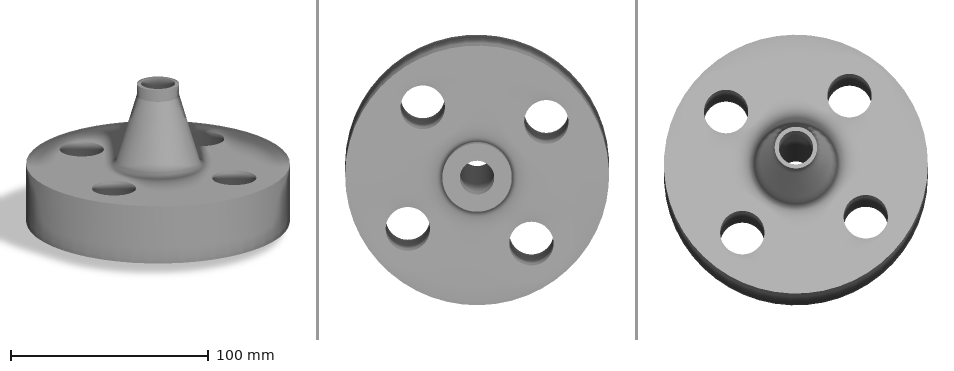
import cadquery as cq
import math

flange_diameter = 133.3
flange_thickness = 30.5

face_diameter = 35.0
face_height = 6.1

hub_base_diameter = 43.2
hub_height = 36.7
neck_diameter = 21.5
neck_height = 6.1
hub_fillet = 2.9

bore_diameter = 17.3
bolt_circle_diameter = 88.9
bolt_hole_diameter = 22.4
bolt_hole_count = 4

flange_bottom = face_height
flange_top = flange_bottom + flange_thickness
neck_bottom = flange_top + hub_height
neck_top = neck_bottom + neck_height

flange_radius = flange_diameter / 2
face_radius = face_diameter / 2
hub_base_radius = hub_base_diameter / 2
neck_radius = neck_diameter / 2

taper_angle = math.atan2(hub_base_radius - neck_radius, hub_height)
corner_angle = math.pi / 2 + taper_angle
tangent_length = hub_fillet / math.tan(corner_angle / 2)
fillet_foot_radius = hub_base_radius + tangent_length
fillet_top_radius = hub_base_radius - tangent_length * math.sin(taper_angle)
fillet_top_level = flange_top + tangent_length * math.cos(taper_angle)


def make_body():
    """Revolve the solid half section of the face, disc, hub and neck about Z."""
    middle_angle = corner_angle / 2
    arc_depth = hub_fillet / math.sin(middle_angle) - hub_fillet
    arc_middle = (
        hub_base_radius + arc_depth * math.cos(middle_angle),
        flange_top + arc_depth * math.sin(middle_angle),
    )
    return (
        cq.Workplane("XZ")
        .moveTo(0, 0)
        .lineTo(face_radius, 0)
        .lineTo(face_radius, flange_bottom)
        .lineTo(flange_radius, flange_bottom)
        .lineTo(flange_radius, flange_top)
        .lineTo(fillet_foot_radius, flange_top)
        .threePointArc(arc_middle, (fillet_top_radius, fillet_top_level))
        .lineTo(neck_radius, neck_bottom)
        .lineTo(neck_radius, neck_top)
        .lineTo(0, neck_top)
        .close()
        .revolve(360, (0, 0), (0, 1))
    )


def make_bore():
    """Straight bore through the full height."""
    return cq.Workplane("XY").circle(bore_diameter / 2).extrude(neck_top)


def make_bolt_holes():
    """Evenly spaced through holes, the first on the X axis."""
    return (
        cq.Workplane("XY", origin=(0, 0, flange_bottom))
        .polarArray(bolt_circle_diameter / 2, 0, 360, bolt_hole_count)
        .circle(bolt_hole_diameter / 2)
        .extrude(flange_thickness)
    )


result = make_body().cut(make_bore()).cut(make_bolt_holes())